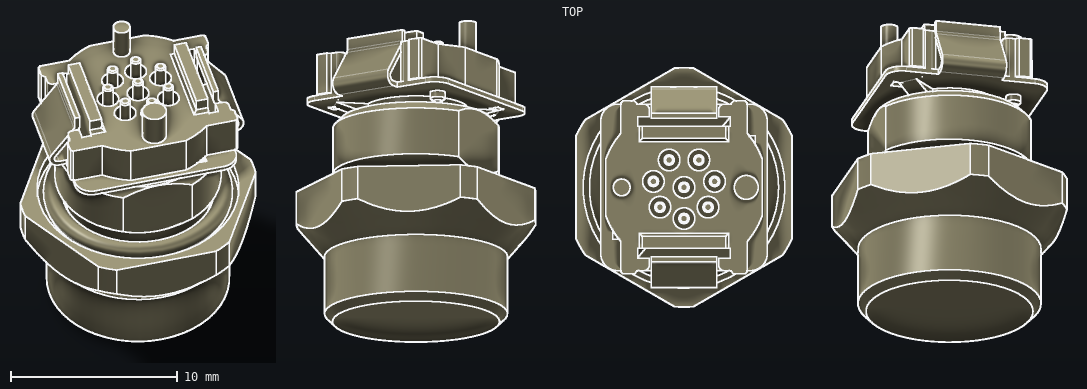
import cadquery as cq
import math


CAP_RADIUS = 5.5
CAP_CHAMFER = 0.49
CONE_BOTTOM = 4.01
CONE_TOP = 6.03
HEX_TOP = 8.03
HEX_FLATS = 13.0
HEX_CORNER_RADIUS = 7.2

GROOVE_RADIUS = 6.07
RING_OUTER_RADIUS = 5.69
RING_TUBE_RADIUS = 0.55
RING_TOP = 8.26
RING_SINK = 0.04

NECK_RADIUS = 4.35
COLLAR_BOTTOM = 8.5
COLLAR_TOP = 12.5
COLLAR_RADIUS = 5.0
COLLAR_TOP_CHAMFER = 0.5
COLLAR_FLATS = 9.04
STEM_RADIUS = 3.11

PLATE_BOTTOM = 13.21
PLATE_TOP = 13.52
PLATE_HALF = 5.0
PLATE_CORNER_RADIUS = 1.0
PLATE_THICKNESS = PLATE_TOP - PLATE_BOTTOM

GUSSET_WIDTH = 1.22
GUSSET_REACH = 4.99
GUSSET_FLAT_REACH = 3.78
GUSSET_BOTTOM = 12.83
NOTCH_FLOOR_REACH = 2.7

PEG_X = 3.3
PEG_Y = 2.6
PEG_RADIUS = 0.45
PEG_BOTTOM = 12.67
PEG_CHAMFER = 0.16

WINDOW_X = 3.96
WINDOW_Y = 2.79
WINDOW_SIZE = 0.63

CARRIER_TOP = 15.98
CARRIER_HALF_X = 4.7
CARRIER_RADIUS = 5.0
BLOCK_HALF_X = 3.8
BLOCK_HALF_Y = 5.2
BLOCK_CHAMFER = 0.13
RECESS_HALF_X = 2.79
RECESS_MOUTH_HALF_X = 2.99
SLOT_INNER_Y = 3.67
SLOT_OUTER_Y = 4.25
GAP_HALF_X = 2.09
GAP_LIP_RADIUS = 0.32

PIT_START_X = 2.32
PIT_DEPTH = 0.27

BAR_HALF_X = 2.5
BAR_INNER_Y = 2.95
BAR_TOP = 16.92
BAR_FLARE = 0.2

CLIP_HALF_X = 1.98
CLIP_TOP = 16.88
CLIP_OUTER_Y = 4.46
BEND_RADIUS = 0.6
BEND_Y = 5.45
KNEE_RADIUS = 0.32
CLIP_LEAN = math.atan2(3, 4)

CONTACT_CIRCLE_RADIUS = 1.87
CONTACT_COUNT = 7
CONTACT_STEP = 50.5
FIRST_CONTACT_ANGLE = 118.5
CONTACT_RADIUS = 0.3
CONTACT_TOP = 17.0
CONTACT_CHAMFER = 0.09
WELL_RADIUS = 0.65
POST_X = 3.75
SMALL_POST_RADIUS = 0.5
LARGE_POST_RADIUS = 0.72
POST_TOP = 18.0


def box(x_min, x_max, y_min, y_max, z_min, z_max):
    size = (x_max - x_min, y_max - y_min, z_max - z_min)
    return cq.Workplane("XY").box(*size, centered=False).translate((x_min, y_min, z_min))


def cylinder(radius, z_min, z_max, x=0, y=0):
    return cq.Workplane("XY").workplane(offset=z_min).center(x, y).circle(radius).extrude(z_max - z_min)


def revolve(profile):
    """Turn a closed outline of (radius, z) points about the Z axis."""
    return cq.Workplane("XZ").polyline(profile).close().revolve(360, (0, 0, 0), (0, 1, 0))


def add_pair(body, feature):
    """Add a feature and its copy turned half a revolution about Z."""
    return body.union(feature).union(feature.rotate((0, 0, 0), (0, 0, 1), 180))


def cut_pair(body, feature):
    """Cut a feature and its copy turned half a revolution about Z."""
    return body.cut(feature).cut(feature.rotate((0, 0, 0), (0, 0, 1), 180))


def make_flange():
    turned = revolve([
        (0, 0),
        (CAP_RADIUS - CAP_CHAMFER, 0),
        (CAP_RADIUS, CAP_CHAMFER),
        (CAP_RADIUS, CONE_BOTTOM),
        (HEX_CORNER_RADIUS, CONE_TOP),
        (HEX_CORNER_RADIUS, HEX_TOP),
        (0, HEX_TOP),
    ])
    corner_diameter = HEX_FLATS / math.cos(math.radians(30))
    hexagon = cq.Workplane("XY").polygon(6, corner_diameter).extrude(HEX_TOP)
    return turned.intersect(hexagon.rotate((0, 0, 0), (0, 0, 1), 30))


def make_groove():
    floor = RING_TOP - 2 * RING_TUBE_RADIUS + RING_SINK
    return cylinder(GROOVE_RADIUS, floor, HEX_TOP).cut(cylinder(NECK_RADIUS, floor, HEX_TOP))


def make_ring():
    centre_radius = RING_OUTER_RADIUS - RING_TUBE_RADIUS
    tube = cq.Workplane("XZ").center(centre_radius, RING_TOP - RING_TUBE_RADIUS).circle(RING_TUBE_RADIUS)
    return tube.revolve(360, (-centre_radius, 0, 0), (-centre_radius, 1, 0))


def make_collar():
    bottom_chamfer = COLLAR_RADIUS - NECK_RADIUS
    turned = revolve([
        (0, COLLAR_BOTTOM),
        (NECK_RADIUS, COLLAR_BOTTOM),
        (COLLAR_RADIUS, COLLAR_BOTTOM + bottom_chamfer),
        (COLLAR_RADIUS, COLLAR_TOP - COLLAR_TOP_CHAMFER),
        (COLLAR_RADIUS - COLLAR_TOP_CHAMFER, COLLAR_TOP),
        (0, COLLAR_TOP),
    ])
    half_x = COLLAR_FLATS / 2
    return turned.intersect(box(-half_x, half_x, -COLLAR_RADIUS, COLLAR_RADIUS, COLLAR_BOTTOM, COLLAR_TOP))


def make_plate():
    plate = box(-PLATE_HALF, PLATE_HALF, -PLATE_HALF, PLATE_HALF, PLATE_BOTTOM, PLATE_TOP)
    return plate.edges("|Z").fillet(PLATE_CORNER_RADIUS)


def make_window():
    x_max = WINDOW_X + WINDOW_SIZE / 2
    y_max = WINDOW_Y + WINDOW_SIZE / 2
    return box(x_max - WINDOW_SIZE, x_max, y_max - WINDOW_SIZE, y_max, PLATE_BOTTOM, PLATE_TOP)


def make_gusset():
    """Rib from the stem to the plate, along the diagonal between +X and +Y."""
    outline = [
        (0, PLATE_BOTTOM),
        (GUSSET_REACH, PLATE_BOTTOM),
        (GUSSET_FLAT_REACH, GUSSET_BOTTOM),
        (0, GUSSET_BOTTOM),
    ]
    rib = cq.Workplane("XZ").polyline(outline).close().extrude(GUSSET_WIDTH / 2, both=True)
    return rib.rotate((0, 0, 0), (0, 0, 1), 45)


def make_stem_notch():
    """Notch in the stem below the gusset, as wide as the gusset."""
    half_width = GUSSET_WIDTH / 2
    notch = box(NOTCH_FLOOR_REACH, GUSSET_REACH, -half_width, half_width, COLLAR_TOP, GUSSET_BOTTOM)
    return notch.rotate((0, 0, 0), (0, 0, 1), 45)


def make_peg():
    peg = cylinder(PEG_RADIUS, PEG_BOTTOM, PLATE_BOTTOM, PEG_X, -PEG_Y)
    return peg.faces("<Z").chamfer(PEG_CHAMFER)


def make_carrier():
    middle = cylinder(CARRIER_RADIUS, PLATE_TOP, CARRIER_TOP).intersect(
        box(-CARRIER_HALF_X, CARRIER_HALF_X, -CARRIER_RADIUS, CARRIER_RADIUS, PLATE_TOP, CARRIER_TOP)
    )
    block = box(-BLOCK_HALF_X, BLOCK_HALF_X, -BLOCK_HALF_Y, BLOCK_HALF_Y, PLATE_TOP, CARRIER_TOP)
    return middle.union(block.edges("|Z").chamfer(BLOCK_CHAMFER))


def make_clip_slot():
    """Stepped slot that lets the +Y clip into the carrier, open down to the plate."""
    lip_x = GAP_HALF_X + GAP_LIP_RADIUS
    lip_y = PLATE_HALF - GAP_LIP_RADIUS
    lip_middle = GAP_LIP_RADIUS * math.sqrt(0.5)
    return (
        cq.Workplane("XY").workplane(offset=PLATE_TOP)
        .moveTo(-RECESS_HALF_X, SLOT_INNER_Y)
        .lineTo(RECESS_HALF_X, SLOT_INNER_Y)
        .lineTo(RECESS_HALF_X, SLOT_OUTER_Y)
        .lineTo(GAP_HALF_X, SLOT_OUTER_Y)
        .lineTo(GAP_HALF_X, lip_y)
        .threePointArc((lip_x - lip_middle, lip_y + lip_middle), (lip_x, PLATE_HALF))
        .lineTo(RECESS_HALF_X, PLATE_HALF)
        .lineTo(RECESS_MOUTH_HALF_X, BLOCK_HALF_Y)
        .lineTo(-RECESS_MOUTH_HALF_X, BLOCK_HALF_Y)
        .lineTo(-RECESS_HALF_X, PLATE_HALF)
        .lineTo(-lip_x, PLATE_HALF)
        .threePointArc((-lip_x + lip_middle, lip_y + lip_middle), (-GAP_HALF_X, lip_y))
        .lineTo(-GAP_HALF_X, SLOT_OUTER_Y)
        .lineTo(-RECESS_HALF_X, SLOT_OUTER_Y)
        .close()
        .extrude(CARRIER_TOP - PLATE_TOP)
    )


def make_slot_pit():
    """Triangular pit in the slot floor, sinking evenly towards +X and +Y."""
    length_x = RECESS_HALF_X - PIT_START_X
    length_y = SLOT_OUTER_Y - SLOT_INNER_Y
    corner_depth = PIT_DEPTH * length_x / (length_x + length_y)
    start = cq.Vector(PIT_START_X, SLOT_INNER_Y, PLATE_TOP)
    corner = cq.Vector(RECESS_HALF_X, SLOT_INNER_Y, PLATE_TOP)
    outer = cq.Vector(RECESS_HALF_X, SLOT_OUTER_Y, PLATE_TOP)
    deep_corner = corner - cq.Vector(0, 0, corner_depth)
    deep_outer = outer - cq.Vector(0, 0, PIT_DEPTH)
    outlines = [
        (start, corner, outer),
        (start, deep_corner, corner),
        (start, outer, deep_outer),
        (start, deep_outer, deep_corner),
        (corner, deep_corner, deep_outer, outer),
    ]
    faces = [cq.Face.makeFromWires(cq.Wire.makePolygon(list(points), close=True)) for points in outlines]
    return cq.Workplane(cq.Solid.makeSolid(cq.Shell.makeShell(faces)))


def make_latch_bar():
    """Upright bar beside the +Y slot, flared at its foot on three sides."""
    bar = box(-BAR_HALF_X, BAR_HALF_X, BAR_INNER_Y, SLOT_INNER_Y, CARRIER_TOP, BAR_TOP)
    foot_length = 2 * (BAR_HALF_X + BAR_FLARE)
    foot = (
        cq.Workplane("XY").workplane(offset=CARRIER_TOP).center(0, SLOT_INNER_Y)
        .rect(foot_length, 2 * (SLOT_INNER_Y - BAR_INNER_Y + BAR_FLARE))
        .workplane(offset=BAR_FLARE)
        .rect(2 * BAR_HALF_X, 2 * (SLOT_INNER_Y - BAR_INNER_Y))
        .loft(ruled=True)
    )
    inner_side = box(-foot_length, foot_length, 0, SLOT_INNER_Y, CARRIER_TOP, BAR_TOP)
    return bar.union(foot.intersect(inner_side))


def make_clip():
    """Strip that leaves the +Y plate edge, bends back up and ends in an upright tab."""
    bend_z = PLATE_BOTTOM + BEND_RADIUS
    knee_y = CLIP_OUTER_Y + KNEE_RADIUS
    normal_y = math.cos(CLIP_LEAN)
    normal_z = math.sin(CLIP_LEAN)
    knee_z = bend_z + (BEND_RADIUS + KNEE_RADIUS - (knee_y - BEND_Y) * normal_y) / normal_z

    def bend_point(radius, angle):
        return (BEND_Y + radius * math.cos(angle), bend_z + radius * math.sin(angle))

    def knee_point(radius, angle):
        return (knee_y - radius * math.cos(angle), knee_z - radius * math.sin(angle))

    bend_middle = (CLIP_LEAN - math.pi / 2) / 2
    bend_inner = BEND_RADIUS - PLATE_THICKNESS
    knee_inner = KNEE_RADIUS + PLATE_THICKNESS
    root_y = PLATE_HALF - PLATE_THICKNESS
    return (
        cq.Workplane("YZ")
        .moveTo(root_y, PLATE_BOTTOM)
        .lineTo(BEND_Y, PLATE_BOTTOM)
        .threePointArc(bend_point(BEND_RADIUS, bend_middle), bend_point(BEND_RADIUS, CLIP_LEAN))
        .lineTo(*knee_point(KNEE_RADIUS, CLIP_LEAN))
        .threePointArc(knee_point(KNEE_RADIUS, CLIP_LEAN / 2), knee_point(KNEE_RADIUS, 0))
        .lineTo(CLIP_OUTER_Y, CLIP_TOP)
        .lineTo(CLIP_OUTER_Y - PLATE_THICKNESS, CLIP_TOP)
        .lineTo(*knee_point(knee_inner, 0))
        .threePointArc(knee_point(knee_inner, CLIP_LEAN / 2), knee_point(knee_inner, CLIP_LEAN))
        .lineTo(*bend_point(bend_inner, CLIP_LEAN))
        .threePointArc(bend_point(bend_inner, bend_middle), (BEND_Y, PLATE_TOP))
        .lineTo(root_y, PLATE_TOP)
        .close()
        .extrude(CLIP_HALF_X, both=True)
    )


def contact_places():
    """Centre contact, then the ring of contacts with a wider space at +Y."""
    places = [(0, 0)]
    for index in range(CONTACT_COUNT):
        angle = math.radians(FIRST_CONTACT_ANGLE + index * CONTACT_STEP)
        places.append((CONTACT_CIRCLE_RADIUS * math.cos(angle), CONTACT_CIRCLE_RADIUS * math.sin(angle)))
    return places


result = make_flange().cut(make_groove())
result = result.union(cylinder(NECK_RADIUS, HEX_TOP, COLLAR_BOTTOM))
result = result.union(make_ring())
result = result.union(make_collar())
result = result.union(cylinder(STEM_RADIUS, COLLAR_TOP, PLATE_BOTTOM))

result = result.union(make_plate())
result = cut_pair(result, make_window())
result = add_pair(result, make_gusset())
result = cut_pair(result, make_stem_notch())
result = add_pair(result, make_peg())

result = result.union(cut_pair(make_carrier(), make_clip_slot()))
result = cut_pair(result, make_slot_pit())
result = add_pair(result, make_latch_bar())
result = add_pair(result, make_clip())

for x, y in contact_places():
    contact = cylinder(CONTACT_RADIUS, PLATE_TOP, CONTACT_TOP, x, y).faces(">Z").chamfer(CONTACT_CHAMFER)
    result = result.cut(cylinder(WELL_RADIUS, PLATE_TOP, CARRIER_TOP, x, y)).union(contact)
result = result.union(cylinder(SMALL_POST_RADIUS, CARRIER_TOP, POST_TOP, -POST_X))
result = result.union(cylinder(LARGE_POST_RADIUS, CARRIER_TOP, POST_TOP, POST_X))